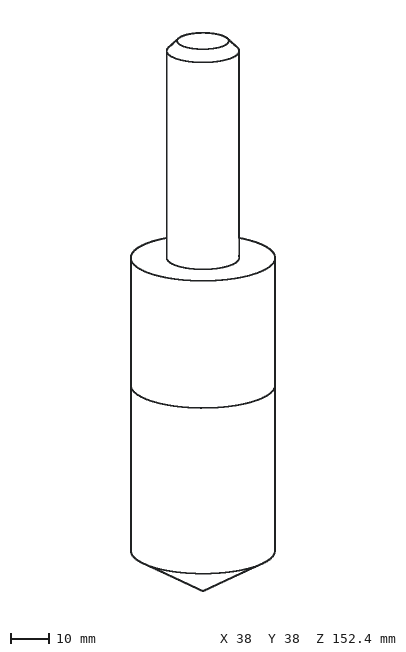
import cadquery as cq

total_length = 152.4
body_radius = 38.0 / 2
shank_radius = 19.0 / 2

tip_height = 11.3
joint_height = 57.2
shoulder_height = 92.4
shank_chamfer = 2.7


def make_tip():
    """Lower body: a cylinder ending in a conical point."""
    profile = [
        (0, 0),
        (body_radius, tip_height),
        (body_radius, joint_height),
        (0, joint_height),
    ]
    return cq.Workplane("XZ").polyline(profile).close().revolve(360, (0, 0, 0), (0, 1, 0))


def make_holder():
    """Upper body: a collar flush with the tip, carrying a chamfered shank."""
    collar = (
        cq.Workplane("XY")
        .workplane(offset=joint_height)
        .circle(body_radius)
        .extrude(shoulder_height - joint_height)
    )
    shank = (
        cq.Workplane("XY")
        .workplane(offset=shoulder_height)
        .circle(shank_radius)
        .extrude(total_length - shoulder_height)
        .faces(">Z")
        .chamfer(shank_chamfer)
    )
    return collar.union(shank)


tip = make_tip()
holder = make_holder()
result = cq.Compound.makeCompound([tip.val(), holder.val()])